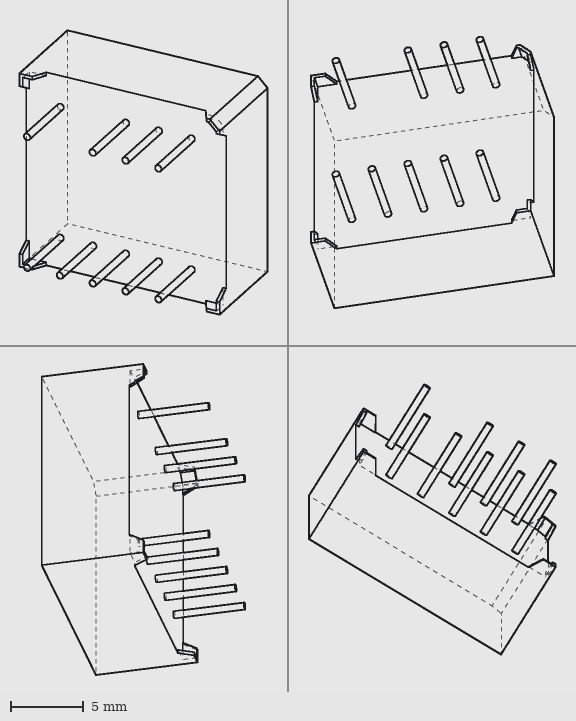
import cadquery as cq
import math

width = 15.5
height = 15.0
housing_depth = 6.2
corner_chamfer = 0.75

foot_height = 1.0
foot_wall = 0.25
foot_tip_length = 1.0
foot_slope = math.radians(30)
foot_root_length = foot_tip_length + foot_height * math.tan(foot_slope)

pin_diameter = 0.5
pin_length = 5.0
pin_pitch = 2.54
row_spacing = 4 * pin_pitch
lower_row_slots = (-2, -1, 0, 1, 2)
upper_row_slots = (-2, 0, 1, 2)


def keyed_block(inset, chamfer, depth):
    """Block with the housing outline moved inward by inset; positive depth runs toward -Y."""
    return (
        cq.Workplane("XZ")
        .rect(width - 2 * inset, height - 2 * inset)
        .extrude(depth)
        .edges(">X and >Z")
        .chamfer(chamfer)
    )


def foot_gap(plane, side, reach):
    """Trapezoidal prism filling the space between the feet on two opposite sides."""
    half_root = side / 2 - foot_root_length
    half_tip = side / 2 - foot_tip_length
    return (
        cq.Workplane(plane)
        .moveTo(-half_root, 0)
        .lineTo(half_root, 0)
        .lineTo(half_tip, -foot_height)
        .lineTo(-half_tip, -foot_height)
        .close()
        .extrude(reach, both=True)
    )


def make_feet():
    """Thin rim around the pin face, opened along each side so that only the corners remain."""
    inner_chamfer = corner_chamfer - foot_wall * (2 - math.sqrt(2))
    outer = keyed_block(0, corner_chamfer, foot_height)
    inner = keyed_block(foot_wall, inner_chamfer, foot_height)
    along_x = foot_gap(cq.Plane.XY(), width, height)
    along_z = foot_gap(cq.Plane((0, 0, 0), xDir=(0, 0, 1), normal=(-1, 0, 0)), height, width)
    return outer.cut(inner).cut(along_x).cut(along_z)


def make_pins(slots, row_z):
    """Row of pins standing on the pin face toward -Y."""
    centers = [(slot * pin_pitch, row_z) for slot in slots]
    return (
        cq.Workplane("XZ")
        .pushPoints(centers)
        .circle(pin_diameter / 2)
        .extrude(pin_length)
    )


housing = keyed_block(0, corner_chamfer, -housing_depth)
feet = make_feet()
lower_pins = make_pins(lower_row_slots, -row_spacing / 2)
upper_pins = make_pins(upper_row_slots, row_spacing / 2)

result = housing.union(feet).union(lower_pins).union(upper_pins)